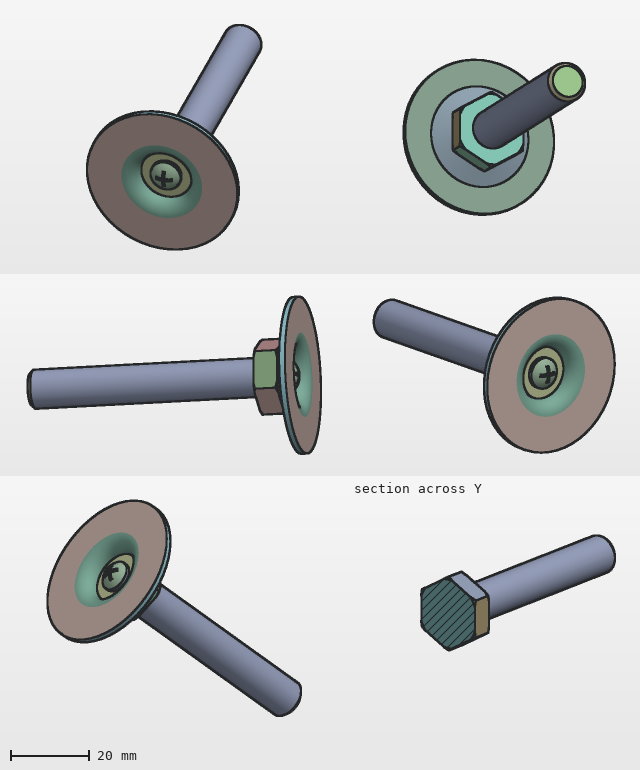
import cadquery as cq
import math

total_length = 71.0

plate_diameter = 40.0
plate_thickness = 1.5
cone_base_diameter = 26.1
cone_top_diameter = 13.35
recess_floor_diameter = 13.5
recess_lip_radius = 4.0

dome_diameter = 8.0
dome_straight_height = 1.0
dome_cap_height = 2.0
slot_length = 4.2
slot_width = 0.65
slot_depth = 1.0

rod_diameter = 10.0
rod_chamfer = 1.0
nut_start = 4.8
nut_thickness = 6.1
nut_across_flats = 17.0
nut_chamfer_angle = 30.0
nut_end_diameter = 18.25
nut_across_corners = nut_across_flats / math.cos(math.radians(30))


def revolve_about_y(profile):
    return profile.close().revolve(360, (0, 0, 0), (0, 1, 0))


def make_foot():
    """Plate and cone, with a quarter-round lip leading down to the flat recess floor."""
    floor_radius = recess_floor_diameter / 2
    lip_mid = recess_lip_radius * math.sqrt(0.5)
    lip_centre_radius = floor_radius + recess_lip_radius
    return revolve_about_y(
        cq.Workplane("XY")
        .moveTo(0, recess_lip_radius)
        .lineTo(floor_radius, recess_lip_radius)
        .threePointArc(
            (lip_centre_radius - lip_mid, recess_lip_radius - lip_mid),
            (lip_centre_radius, 0),
        )
        .lineTo(plate_diameter / 2, 0)
        .lineTo(plate_diameter / 2, plate_thickness)
        .lineTo(cone_base_diameter / 2, plate_thickness)
        .lineTo(cone_top_diameter / 2, nut_start)
        .lineTo(0, nut_start)
    )


def make_dome():
    """Short cylinder and spherical cap inside the recess, with a cross slot in its tip."""
    dome_radius = dome_diameter / 2
    cap_base = recess_lip_radius - dome_straight_height
    tip = cap_base - dome_cap_height
    sphere_radius = (dome_radius**2 + dome_cap_height**2) / (2 * dome_cap_height)
    mid_angle = math.asin(dome_radius / sphere_radius) / 2
    dome = revolve_about_y(
        cq.Workplane("XY")
        .moveTo(0, tip)
        .threePointArc(
            (sphere_radius * math.sin(mid_angle), tip + sphere_radius * (1 - math.cos(mid_angle))),
            (dome_radius, cap_base),
        )
        .lineTo(dome_radius, recess_lip_radius)
        .lineTo(0, recess_lip_radius)
    )
    for length_x, length_z in ((slot_length, slot_width), (slot_width, slot_length)):
        slot = cq.Workplane("XY").box(length_x, 2 * slot_depth, length_z)
        dome = dome.cut(slot.translate((0, tip, 0)))
    return dome


def make_nut():
    """Hexagon with corners toward +Z and -Z, chamfered conically at both ends."""
    hexagon = (
        cq.Workplane("XZ", origin=(0, nut_start, 0))
        .transformed(rotate=(0, 0, 90))
        .polygon(6, nut_across_corners)
        .extrude(-nut_thickness)
    )
    end_radius = nut_end_diameter / 2
    corner_radius = nut_across_corners / 2
    chamfer_height = (corner_radius - end_radius) * math.tan(math.radians(nut_chamfer_angle))
    nut_end = nut_start + nut_thickness
    envelope = revolve_about_y(
        cq.Workplane("XY")
        .moveTo(0, nut_start)
        .lineTo(end_radius, nut_start)
        .lineTo(corner_radius, nut_start + chamfer_height)
        .lineTo(corner_radius, nut_end - chamfer_height)
        .lineTo(end_radius, nut_end)
        .lineTo(0, nut_end)
    )
    return hexagon.intersect(envelope)


def make_rod():
    """Plain spindle from the nut to its chamfered free end."""
    return (
        cq.Workplane("XZ", origin=(0, nut_start, 0))
        .circle(rod_diameter / 2)
        .extrude(-(total_length - nut_start))
        .faces(">Y")
        .chamfer(rod_chamfer)
    )


result = make_foot().union(make_dome()).union(make_nut()).union(make_rod())